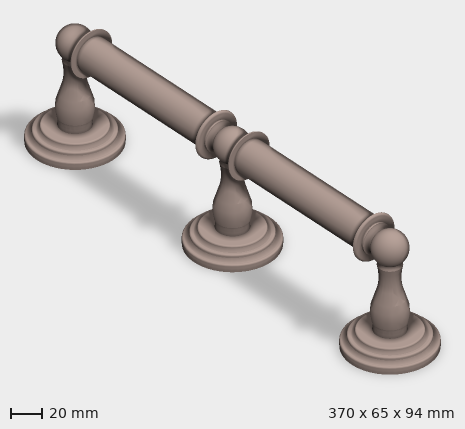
import cadquery as cq
import math

overall_length = 370.0
overall_height = 94.0
base_radius = 32.5
flange_radius = 17.5
post_spacing = overall_length / 2 - base_radius
bar_axis_z = overall_height - flange_radius

rim_height = 5.5
rim_cove_radius = 31.0
step_radius = 27.7
step_foot_z = 7.8
step_height = 10.0
step_cove_radius = 25.0
cap_radius = 22.5
cap_foot_z = 12.0
base_height = 13.3
edge_round = 1.0
cove_sag = 0.7

foot_radius = 11.5
foot_waist_radius = 11.0
belly_foot_radius = 12.0
belly_foot_z = 20.0
belly_radius = 13.0
belly_z = 26.5
shoulder_radius = 10.7
shoulder_z = 37.7
neck_radius = 7.5
neck_z = 52.0
collar_radius = 8.5
collar_z = 63.5
collar_top_radius = 7.8
ball_radius = 12.5

bar_radius = 12.5
hub_radius = 9.0
hub_end = 10.7
ring_radius = 11.5
ring_start = 13.0
flange_start = 14.5
flange_end = 16.3
flange_round = 1.5


def round_over(profile, radius, top, edge_radius):
    """Finish a wall of the given radius with a quarter-round edge that ends at top."""
    inset = edge_radius * (1 - math.cos(math.pi / 4))
    return (
        profile.lineTo(radius, top - edge_radius)
        .threePointArc((radius - inset, top - inset), (radius - edge_radius, top))
    )


def cove(profile, start, end):
    """Concave arc rising inward from start to end, bowed toward the axis and the foot."""
    run = start[0] - end[0]
    rise = end[1] - start[1]
    chord = math.hypot(run, rise)
    middle = (
        (start[0] + end[0]) / 2 - cove_sag * rise / chord,
        (start[1] + end[1]) / 2 - cove_sag * run / chord,
    )
    return profile.lineTo(*start).threePointArc(middle, end)


def make_post():
    """Stepped base, turned stem and ball, revolved about Z as one profile."""
    profile = cq.Workplane("XZ").lineTo(base_radius, 0)

    profile = round_over(profile, base_radius, rim_height, edge_round)
    profile = cove(profile, (rim_cove_radius, rim_height), (step_radius, step_foot_z))
    profile = round_over(profile, step_radius, step_height, edge_round)
    profile = cove(profile, (step_cove_radius, step_height), (cap_radius, cap_foot_z))
    profile = round_over(profile, cap_radius, base_height, edge_round)

    ball_foot_z = bar_axis_z - math.sqrt(ball_radius**2 - collar_top_radius**2)
    foot_waist_z = (base_height + belly_foot_z) / 2
    profile = (
        profile.lineTo(foot_radius, base_height)
        .threePointArc((foot_waist_radius, foot_waist_z), (belly_foot_radius, belly_foot_z))
        .threePointArc((belly_radius, belly_z), (shoulder_radius, shoulder_z))
        .threePointArc((neck_radius, neck_z), (collar_radius, collar_z))
        .lineTo(collar_top_radius, ball_foot_z)
        .threePointArc((ball_radius, bar_axis_z), (0, bar_axis_z + ball_radius))
        .close()
    )
    return profile.revolve(360, (0, 0, 0), (0, 1, 0))


def make_flange():
    """Hub, ring and flange, turned about Z: bar side at the bottom, post axis at the top."""
    profile = cq.Workplane("XZ").lineTo(flange_radius, 0)
    profile = round_over(profile, flange_radius, flange_end - flange_start, flange_round)
    profile = profile.lineTo(ring_radius, flange_end - flange_start)
    profile = cove(
        profile,
        (ring_radius, flange_end - ring_start),
        (hub_radius, flange_end - hub_end),
    )
    profile = profile.lineTo(hub_radius, flange_end).lineTo(0, flange_end).close()
    return profile.revolve(360, (0, 0, 0), (0, 1, 0))


def make_bar(left_post_x):
    """Round bar from one post to the next, with a flange facing the post at each end."""
    half_bar = post_spacing / 2 - flange_end
    bar = cq.Workplane("YZ").circle(bar_radius).extrude(half_bar, both=True)
    for side in (-1, 1):
        flange = make_flange().rotate((0, 0, 0), (0, 1, 0), side * 90)
        bar = bar.union(flange.translate((side * half_bar, 0, 0)))
    return bar.translate((left_post_x + post_spacing / 2, 0, bar_axis_z))


post = make_post()
result = post
for side in (-1, 1):
    result = result.union(post.translate((side * post_spacing, 0, 0)))
for left_post_x in (-post_spacing, 0):
    result = result.union(make_bar(left_post_x))